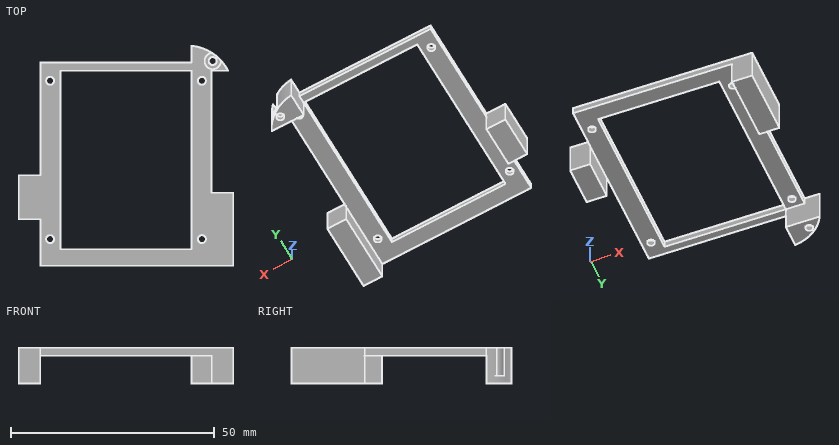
import cadquery as cq

height = 8.85
plate_thickness = 2.0
tab_width = 5.35

frame_width = 42.1
frame_depth = 50.0
side_rail = 5.0
front_rail = 4.1
rear_rail = 2.1
frame_left = tab_width
frame_right = frame_left + frame_width
window_left = frame_left + side_rail
window_right = frame_right - side_rail
window_rear = frame_depth - rear_rail

left_block_front = 11.4
left_block_rear = 22.3
right_block_depth = 18.0

lug_rear = 54.1
lug_right = 51.5
lug_arc_radius = 11.5

hole_diameter = 1.9
frame_hole_inset = 2.4
frame_hole_front_y = 6.55
frame_hole_rear_y = 45.45
lug_hole_x = 47.7
lug_hole_y = 50.3
counterbore_diameter = 4.0
counterbore_floor = plate_thickness


def block(x_min, x_max, y_min, y_max, z_min=0.0):
    """Box between the given limits, reaching up to the top face."""
    size = (x_max - x_min, y_max - y_min, height - z_min)
    return cq.Workplane("XY").box(*size, centered=False).translate((x_min, y_min, z_min))


def frame():
    """Thin plate with a large window, flush with the top face."""
    plate_bottom = height - plate_thickness
    plate = block(frame_left, frame_right, 0, frame_depth, plate_bottom)
    window = block(window_left, window_right, front_rail, window_rear, plate_bottom)
    return plate.cut(window)


def corner_lug():
    """Full-height lug at the rear right corner, closed by an arc."""
    return (
        cq.Workplane("XY")
        .moveTo(window_right, window_rear)
        .lineTo(window_right, lug_rear)
        .radiusArc((lug_right, window_rear), lug_arc_radius)
        .close()
        .extrude(height)
    )


def frame_holes():
    """Through holes near the four corners of the frame."""
    centers = [
        (x, y)
        for x in (frame_left + frame_hole_inset, frame_right - frame_hole_inset)
        for y in (frame_hole_front_y, frame_hole_rear_y)
    ]
    return cq.Workplane("XY").pushPoints(centers).circle(hole_diameter / 2).extrude(height)


def lug_hole():
    """Through hole with a deep counterbore that breaks out through the lug's arc."""
    drill = cq.Workplane("XY").center(lug_hole_x, lug_hole_y).circle(hole_diameter / 2).extrude(height)
    counterbore = (
        cq.Workplane("XY", origin=(lug_hole_x, lug_hole_y, counterbore_floor))
        .circle(counterbore_diameter / 2)
        .extrude(height - counterbore_floor)
    )
    return drill.union(counterbore)


left_block = block(0, frame_left, left_block_front, left_block_rear)
right_block = block(frame_right, frame_right + tab_width, 0, right_block_depth)

body = frame().union(left_block).union(right_block).union(corner_lug())
result = body.cut(frame_holes()).cut(lug_hole())